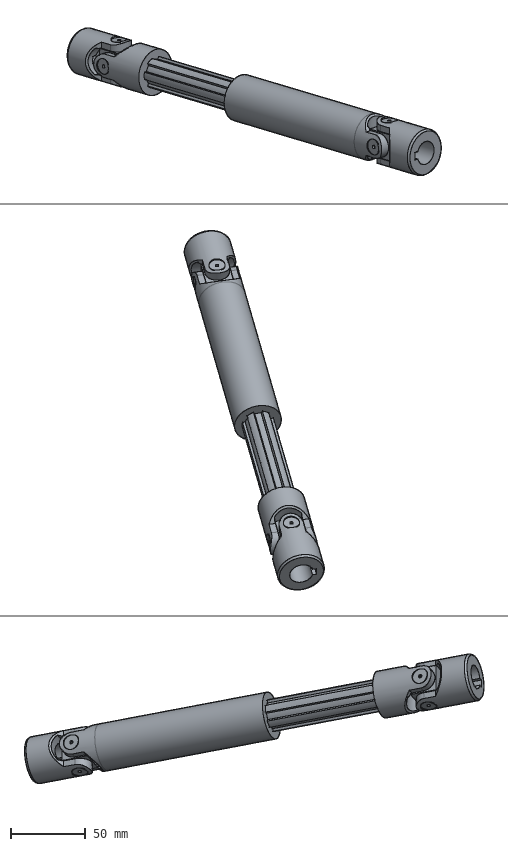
import cadquery as cq


total_length = 320.0
outer_diameter = 32.0
outer_radius = outer_diameter / 2
end_chamfer_length = 1.5
end_chamfer_depth = 1.0

joint_half_length = 34.0
cross_side = 18.5
pin_diameter = 11.0
pin_tip_span = 30.0
center_hole_diameter = 2.2
center_hole_depth = 1.5
ear_width = 16.5
throat_diameter = 29.5

bore_diameter = 16.0
key_width = 5.0
key_reach = 10.2

tooth_count = 6
tooth_width = 5.0
spline_root_diameter = 18.2
spline_tip_diameter = 21.8

left_joint_x = joint_half_length
right_joint_x = total_length - joint_half_length
shaft_yoke_end_x = left_joint_x + joint_half_length
sleeve_start_x = 147.5
sleeve_end_x = 268.8
shaft_end_x = sleeve_end_x


def rod_x(start_x, end_x, diameter):
    """A round bar on the X axis."""
    return cq.Workplane("YZ", origin=(start_x, 0, 0)).circle(diameter / 2).extrude(end_x - start_x)


def cross_pins(length, diameter):
    """Two crossed round bars, along Y and along Z, centred on the origin."""
    along_z = cq.Workplane("XY").circle(diameter / 2).extrude(length / 2, both=True)
    along_y = cq.Workplane("XZ").circle(diameter / 2).extrude(length / 2, both=True)
    return along_z.union(along_y)


def make_cross(joint_x):
    """Cube with four pins, each with a centre hole in its tip."""
    cross = cq.Workplane("XY").box(cross_side, cross_side, cross_side)
    cross = cross.union(cross_pins(pin_tip_span, pin_diameter))
    holes = cross_pins(pin_tip_span, center_hole_diameter)
    core_side = pin_tip_span - 2 * center_hole_depth
    holes = holes.cut(cq.Workplane("XY").box(core_side, core_side, core_side))
    return cross.cut(holes).translate((joint_x, 0, 0))


def ear_outline(fork_length):
    """Fork outline along its pins: a rounded ear that flares at 45 degrees to the full width.

    The joint centre is the origin and the fork body lies toward +X.
    """
    ear_radius = ear_width / 2
    flare_start_x = ear_radius
    flare_end_x = flare_start_x + (outer_radius - ear_radius)
    return (
        cq.Workplane("XY")
        .moveTo(0, ear_radius)
        .threePointArc((-ear_radius, 0), (0, -ear_radius))
        .lineTo(flare_start_x, -ear_radius)
        .lineTo(flare_end_x, -outer_radius)
        .lineTo(fork_length, -outer_radius)
        .lineTo(fork_length, outer_radius)
        .lineTo(flare_end_x, outer_radius)
        .lineTo(flare_start_x, ear_radius)
        .close()
        .extrude(outer_radius, both=True)
    )


def make_fork(fork_length):
    """Fork with ears at +Z and -Z, centred on the joint and with its body toward +X."""
    fork = rod_x(-ear_width, fork_length, outer_diameter).intersect(ear_outline(fork_length))
    throat = cq.Workplane("XZ").circle(throat_diameter / 2).extrude(outer_radius, both=True)
    gap = cq.Workplane("XY").box(throat_diameter, outer_diameter, cross_side)
    fork = fork.cut(throat.intersect(gap))
    pin_bore = cq.Workplane("XY").circle(pin_diameter / 2).extrude(outer_radius, both=True)
    return fork.cut(pin_bore)


def make_end_yoke():
    """Fork with a chamfered outer end and a keyed bore that opens into the throat."""
    yoke = make_fork(joint_half_length).faces(">X").edges().chamfer(end_chamfer_length, end_chamfer_depth)
    bore = rod_x(0, joint_half_length, bore_diameter)
    keyway = cq.Workplane("XY").box(joint_half_length, key_reach, key_width, centered=(False, False, True))
    return yoke.cut(bore).cut(keyway.translate((0, -key_reach, 0)))


def spline_bar(start_x, end_x):
    """Bar with straight-sided teeth, one of them pointing along Y."""
    length = end_x - start_x
    bar = rod_x(start_x, end_x, spline_root_diameter)
    for pair_index in range(tooth_count // 2):
        tooth_pair = cq.Workplane("XY").box(length, outer_diameter, tooth_width)
        tooth_pair = tooth_pair.translate((start_x + length / 2, 0, 0))
        bar = bar.union(tooth_pair.rotate((0, 0, 0), (1, 0, 0), pair_index * 360 / tooth_count))
    return bar.intersect(rod_x(start_x, end_x, spline_tip_diameter))


left_yoke = make_end_yoke().mirror("YZ").translate((left_joint_x, 0, 0))
right_yoke = make_end_yoke().translate((right_joint_x, 0, 0))

shaft_fork = make_fork(joint_half_length).rotate((0, 0, 0), (1, 0, 0), 90)
shaft = shaft_fork.translate((left_joint_x, 0, 0)).union(spline_bar(shaft_yoke_end_x, shaft_end_x))

sleeve_fork = make_fork(right_joint_x - sleeve_end_x).rotate((0, 0, 0), (1, 0, 0), 90).mirror("YZ")
sleeve = rod_x(sleeve_start_x, sleeve_end_x, outer_diameter).cut(spline_bar(sleeve_start_x, sleeve_end_x))
sleeve = sleeve.union(sleeve_fork.translate((right_joint_x, 0, 0)), clean=False)

crosses = [make_cross(x).val() for x in (left_joint_x, right_joint_x)]

result = cq.Compound.makeCompound([left_yoke.val(), right_yoke.val(), shaft.val(), sleeve.val(), *crosses])